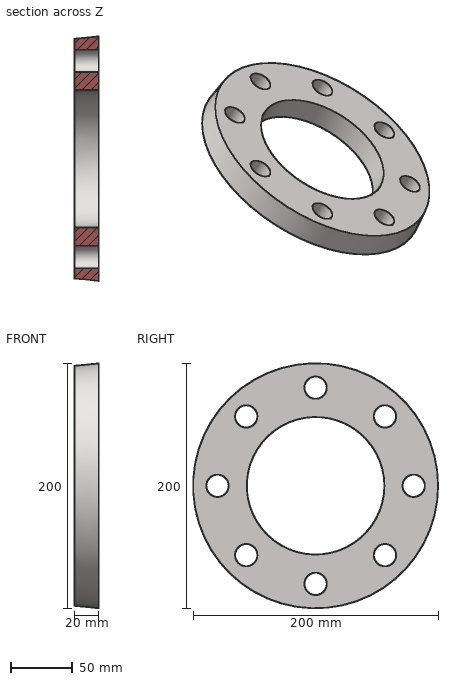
import cadquery as cq

outer_diameter = 200.0
small_face_diameter = 196.0
thickness = 20.0
bore_diameter = 112.0
bolt_hole_count = 8
bolt_hole_diameter = 18.0
bolt_circle_diameter = 160.0

ring = (
    cq.Workplane("XY")
    .moveTo(0, bore_diameter / 2)
    .lineTo(0, small_face_diameter / 2)
    .lineTo(thickness, outer_diameter / 2)
    .lineTo(thickness, bore_diameter / 2)
    .close()
    .revolve(360, (0, 0, 0), (1, 0, 0))
)

bolt_holes = (
    cq.Workplane("YZ")
    .polarArray(bolt_circle_diameter / 2, 0, 360, bolt_hole_count)
    .circle(bolt_hole_diameter / 2)
    .extrude(thickness)
)

result = ring.cut(bolt_holes)